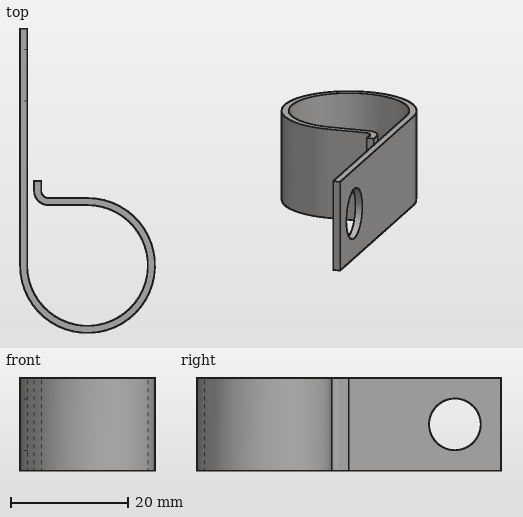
import cadquery as cq
import math

width = 15.85
thickness = 1.25
total_length = 52.0

outer_radius = 11.55
inner_radius = outer_radius - thickness

leg_end_y = total_length - outer_radius
hole_diameter = 8.8
hole_to_end = 7.9

lip_gap = 1.15
lip_end_y = 14.45
bend_outer_radius = 2.5
bend_inner_radius = bend_outer_radius - thickness
lip_left_x = -inner_radius + lip_gap
lip_right_x = lip_left_x + thickness
bend_x = lip_left_x + bend_outer_radius
bend_y = inner_radius + bend_outer_radius


def bend_middle(radius):
    """Midpoint of the lip bend's quarter arc at the given radius."""
    offset = radius * math.sqrt(0.5)
    return (bend_x - offset, bend_y - offset)


def loop_middle(radius):
    """Midpoint of the loop's three-quarter arc at the given radius."""
    offset = radius * math.sqrt(0.5)
    return (offset, -offset)


def make_strip():
    """Bent strip: leg, loop, short flat and lip, extruded across its width."""
    return (
        cq.Workplane("XY")
        .moveTo(-outer_radius, leg_end_y)
        .lineTo(-outer_radius, 0)
        .threePointArc(loop_middle(outer_radius), (0, outer_radius))
        .lineTo(bend_x, outer_radius)
        .threePointArc(bend_middle(bend_inner_radius), (lip_right_x, bend_y))
        .lineTo(lip_right_x, lip_end_y)
        .lineTo(lip_left_x, lip_end_y)
        .lineTo(lip_left_x, bend_y)
        .threePointArc(bend_middle(bend_outer_radius), (bend_x, inner_radius))
        .lineTo(0, inner_radius)
        .threePointArc(loop_middle(inner_radius), (-inner_radius, 0))
        .lineTo(-inner_radius, leg_end_y)
        .close()
        .extrude(width)
    )


def make_hole():
    """Cutter for the bolt hole, passing through the leg only."""
    return (
        cq.Workplane("YZ", origin=(-outer_radius, 0, 0))
        .center(leg_end_y - hole_to_end, width / 2)
        .circle(hole_diameter / 2)
        .extrude(thickness)
    )


result = make_strip().cut(make_hole())